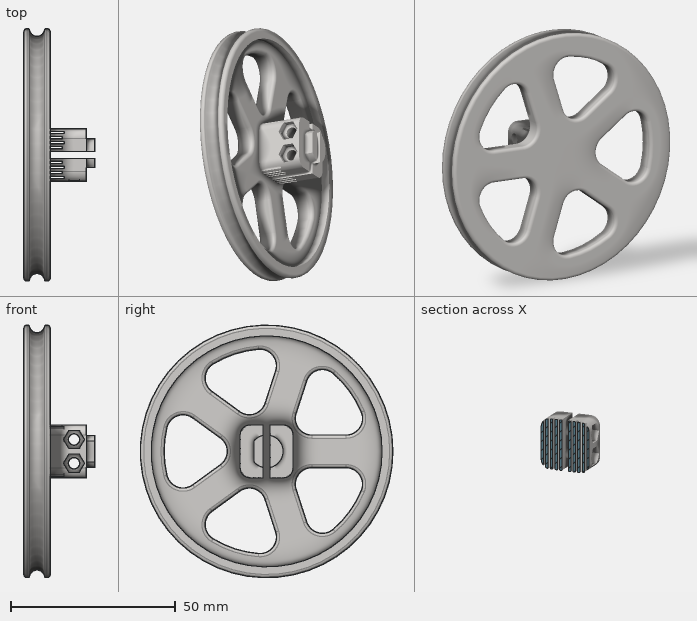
import cadquery as cq
import math

wheel_diameter = 76.6
wheel_width = 8.05
web_thickness = 5.5
web_radius = 35.0
edge_round = 1.0
groove_radius = 2.3
groove_lip_round = 0.5

window_count = 5
spoke_width = 9.95
window_outer_radius = 31.0
window_corner_radius = 5.0

hub_side = 16.0
hub_corner_radius = 3.0
hub_length_past_rim = 10.95
boss_diameter = 9.95
boss_length = 2.5
boss_flat_distance = 3.8
clamp_gap = 2.1

slot_width = 0.575
first_slot_offset = 2.2
slot_pitch = 1.5
slots_per_side = 4
short_slot_length = 6.1
long_slot_length = 6.75

screw_diameter = 3.4
screw_spacing = 7.2
screw_distance_from_rim = 7.2
nut_across_flats = 5.5
nut_depth = 2.5

wheel_radius = wheel_diameter / 2
hub_end = wheel_width + hub_length_past_rim
boss_end = hub_end + boss_length


def make_rim():
    """Ring with rounded edges and a half-round rope groove between rounded lips."""
    middle = wheel_width / 2
    lip_reach = math.sqrt(groove_radius**2 + 2 * groove_radius * groove_lip_round)
    groove_share = groove_radius / (groove_radius + groove_lip_round)
    wall_reach = lip_reach * groove_share
    wall_radius = wheel_radius - groove_lip_round * groove_share
    return (
        cq.Workplane("XY")
        .moveTo(0, web_radius)
        .lineTo(0, wheel_radius - edge_round)
        .tangentArcPoint((edge_round, wheel_radius), relative=False)
        .lineTo(middle - lip_reach, wheel_radius)
        .tangentArcPoint((middle - wall_reach, wall_radius), relative=False)
        .tangentArcPoint((middle + wall_reach, wall_radius), relative=False)
        .tangentArcPoint((middle + lip_reach, wheel_radius), relative=False)
        .lineTo(wheel_width - edge_round, wheel_radius)
        .tangentArcPoint((wheel_width, wheel_radius - edge_round), relative=False)
        .lineTo(wheel_width, web_radius)
        .close()
        .revolve(360, (0, 0), (1, 0))
    )


def make_window():
    """Rounded sector centred on the -Y direction, as deep as the web."""
    half_angle = math.pi / window_count
    apex = spoke_width / 2 / math.sin(half_angle)
    half_height = wheel_radius * math.tan(half_angle)
    wedge = (
        cq.Workplane("YZ")
        .moveTo(-apex, 0)
        .lineTo(-apex - wheel_radius, half_height)
        .lineTo(-apex - wheel_radius, -half_height)
        .close()
        .extrude(web_thickness)
    )
    limit = cq.Workplane("YZ").circle(window_outer_radius).extrude(web_thickness)
    return wedge.intersect(limit).edges("|X").fillet(window_corner_radius)


def make_web():
    """Thin disc inside the rim; the window edges are rounded on both faces."""
    web = cq.Workplane("YZ").circle(web_radius).extrude(web_thickness)
    window = make_window()
    for index in range(window_count):
        web = web.cut(window.rotate((0, 0, 0), (1, 0, 0), index * 360 / window_count))
    window_edges = [
        edge
        for face in web.faces("|X").vals()
        for outline in face.innerWires()
        for edge in outline.Edges()
    ]
    return web.newObject(window_edges).fillet(edge_round)


def make_hub():
    """Rounded square block and D-shaped boss, before the clamp cuts."""
    block = (
        cq.Workplane("YZ", origin=(web_thickness, 0, 0))
        .rect(hub_side, hub_side)
        .extrude(hub_end - web_thickness)
        .edges("|X")
        .fillet(hub_corner_radius)
    )
    boss = cq.Workplane("YZ", origin=(hub_end, 0, 0)).circle(boss_diameter / 2).extrude(boss_length)
    beyond_flat = (
        cq.Workplane("XY")
        .box(boss_length, boss_diameter, boss_diameter, centered=(False, False, True))
        .translate((hub_end, -boss_flat_distance - boss_diameter, 0))
    )
    return block.union(boss.cut(beyond_flat))


def make_slot(offset, width, length):
    """Cutter through the hub along Z, starting at the web."""
    return (
        cq.Workplane("XY")
        .box(length, width, hub_side, centered=(False, True, True))
        .translate((web_thickness, offset, 0))
    )


def cut_slots(hub):
    """Split the hub and boss with the clamp gap and cut the narrow slots on both sides."""
    hub = hub.cut(make_slot(0, clamp_gap, boss_end - web_thickness))
    for index in range(slots_per_side):
        length = short_slot_length if index % 2 == 0 else long_slot_length
        offset = first_slot_offset + index * slot_pitch
        for side in (-1, 1):
            hub = hub.cut(make_slot(side * offset, slot_width, length))
    return hub


def cut_screws(hub):
    """Two screw holes through the hub along Y, each with a nut pocket."""
    screw_x = wheel_width + screw_distance_from_rim
    nut_across_corners = nut_across_flats / math.cos(math.pi / 6)
    for screw_z in (-screw_spacing / 2, screw_spacing / 2):
        face = cq.Workplane("XZ", origin=(screw_x, -hub_side / 2, screw_z))
        hub = hub.cut(face.circle(screw_diameter / 2).extrude(-hub_side))
        hub = hub.cut(face.polygon(6, nut_across_corners).extrude(-nut_depth))
    return hub


wheel = make_rim().union(make_web())
hub = cut_screws(cut_slots(make_hub()))
result = wheel.union(hub)